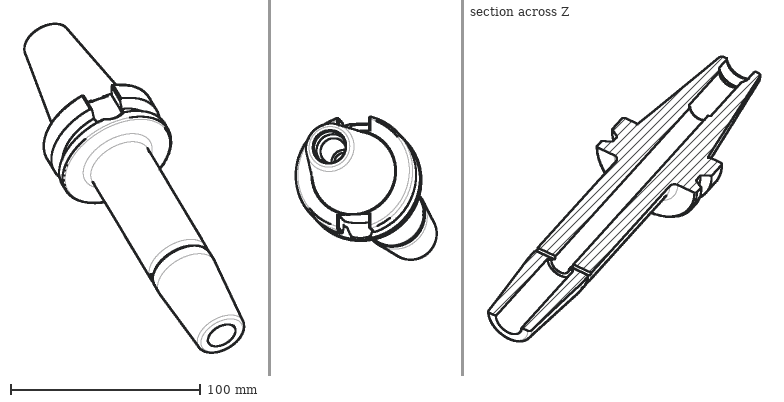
import math

import cadquery as cq


TAPER_LENGTH = 65.4
TAPER_RATIO = 7 / 24
GAUGE_DIAMETER = 44.45
SHANK_FILLET = 2.0

FLANGE_DIAMETER = 63.0
FLANGE_START = 0.6
FLANGE_END = 27.0
FLANGE_FRONT_FILLET = 1.0
FLANGE_BACK_FILLET = 1.5
FACE_UNDERCUT_WIDTH = 0.45
FACE_UNDERCUT_DEPTH = 0.5
GROOVE_CENTER = 16.6
GROOVE_MOUTH = 10.0
GROOVE_FLOOR_DIAMETER = 52.8
GROOVE_HALF_ANGLE = math.radians(30)

SLOT_WIDTH = 16.1
SLOT_FLOOR_HEIGHT = 22.5
SLOT_END = 22.8
SLOT_CHAMFER = 1.0

NOSE_END = 160.0
BODY_DIAMETER = 34.0
BODY_FILLET = 3.0
RELIEF_START = 104.5
RELIEF_END = 108.5
RELIEF_DIAMETER = 33.0
RELIEF_RISE_LENGTH = 0.8
NOSE_TAPER_LENGTH = 44.6
NOSE_TAPER_ANGLE = math.radians(4.5)
NOSE_FILLET = 1.5

CROSS_HOLE_DIAMETER = 2.0
CROSS_HOLE_POSITION = 107.0

PILOT_DIAMETER = 17.0
PILOT_DEPTH = 8.0
PILOT_CHAMFER_HEIGHT = 0.5
PILOT_CHAMFER_LENGTH = 1.0
THREAD_BORE_DIAMETER = 13.8
THREAD_BORE_DEPTH = 40.0
THROUGH_DIAMETER = 11.0
TOOL_BORE_DIAMETER = 16.0
TOOL_BORE_DEPTH = 50.0
LEAD_IN_ANGLE = math.radians(30)
DRILL_TIP_ANGLE = math.radians(59)

SHANK_END = -TAPER_LENGTH
TAPER_END_DIAMETER = GAUGE_DIAMETER + FLANGE_START * TAPER_RATIO
FLANGE_RADIUS = FLANGE_DIAMETER / 2
BODY_RADIUS = BODY_DIAMETER / 2
MATCH_TOLERANCE = 0.01


def revolve_profile(points):
    """Turn a closed (axial position, radius) outline about the X axis."""
    return cq.Workplane("XZ").polyline(points).close().revolve(360, (0, 0, 0), (1, 0, 0))


def is_body_root(edge):
    """True for the circle where the body leaves the flange."""
    if edge.geomType() != "CIRCLE":
        return False
    at_flange = math.isclose(edge.Center().x, FLANGE_END, abs_tol=MATCH_TOLERANCE)
    return at_flange and math.isclose(edge.radius(), BODY_RADIUS, abs_tol=MATCH_TOLERANCE)


def make_shank():
    small_diameter = GAUGE_DIAMETER - TAPER_LENGTH * TAPER_RATIO
    shank = revolve_profile([
        (SHANK_END, 0),
        (SHANK_END, small_diameter / 2),
        (FLANGE_START, TAPER_END_DIAMETER / 2),
        (FLANGE_START, 0),
    ])
    return shank.faces("<X").edges().fillet(SHANK_FILLET)


def make_slotted_disc():
    """Plain flange disc with both drive slots, their edges chamfered."""
    disc = (
        cq.Workplane("YZ", origin=(FLANGE_START, 0, 0))
        .circle(FLANGE_RADIUS)
        .extrude(FLANGE_END - FLANGE_START)
    )
    half_width = SLOT_WIDTH / 2
    slot = (
        cq.Workplane("XY", origin=(0, 0, SLOT_FLOOR_HEIGHT))
        .moveTo(0, -half_width)
        .lineTo(SLOT_END - half_width, -half_width)
        .threePointArc((SLOT_END, 0), (SLOT_END - half_width, half_width))
        .lineTo(0, half_width)
        .close()
        .extrude(FLANGE_RADIUS)
    )
    disc = disc.cut(slot).cut(slot.mirror("XY"))

    def is_slot_rim(edge):
        """True for the slot edges on the rim and on the shank-side face, not on the floor."""
        bounds = edge.BoundingBox()
        reaches_rim = max(abs(bounds.zmin), abs(bounds.zmax)) > SLOT_FLOOR_HEIGHT + MATCH_TOLERANCE
        in_slot = max(abs(bounds.ymin), abs(bounds.ymax)) < half_width + MATCH_TOLERANCE
        beyond_face = bounds.xmax > FLANGE_START + MATCH_TOLERANCE
        upright = bounds.zlen > SLOT_CHAMFER
        return reaches_rim and in_slot and beyond_face != upright

    return disc.edges().filter(is_slot_rim).chamfer(SLOT_CHAMFER)


def make_flange():
    """Slotted disc trimmed to the turned flange outline."""
    wall_run = (FLANGE_DIAMETER - GROOVE_FLOOR_DIAMETER) / 2 * math.tan(GROOVE_HALF_ANGLE)
    mouth_half = GROOVE_MOUTH / 2
    floor_half = mouth_half - wall_run
    floor_radius = GROOVE_FLOOR_DIAMETER / 2
    outline = revolve_profile([
        (FLANGE_START, 0),
        (FLANGE_START, FLANGE_RADIUS),
        (GROOVE_CENTER - mouth_half, FLANGE_RADIUS),
        (GROOVE_CENTER - floor_half, floor_radius),
        (GROOVE_CENTER + floor_half, floor_radius),
        (GROOVE_CENTER + mouth_half, FLANGE_RADIUS),
        (FLANGE_END, FLANGE_RADIUS),
        (FLANGE_END, 0),
    ])
    outline = outline.faces("<X").edges().fillet(FLANGE_BACK_FILLET)
    outline = outline.faces(">X").edges().fillet(FLANGE_FRONT_FILLET)
    return make_slotted_disc().intersect(outline)


def make_face_undercut():
    """Narrow ring groove in the flange face where it meets the taper."""
    inner_radius = TAPER_END_DIAMETER / 2
    outer_radius = inner_radius + FACE_UNDERCUT_WIDTH
    return (
        cq.Workplane("YZ", origin=(FLANGE_START, 0, 0))
        .circle(outer_radius)
        .circle(inner_radius)
        .extrude(FACE_UNDERCUT_DEPTH)
    )


def make_body():
    relief_radius = RELIEF_DIAMETER / 2
    nose_start = NOSE_END - NOSE_TAPER_LENGTH
    nose_radius = BODY_RADIUS - NOSE_TAPER_LENGTH * math.tan(NOSE_TAPER_ANGLE)
    body = revolve_profile([
        (FLANGE_START, 0),
        (FLANGE_START, BODY_RADIUS),
        (RELIEF_START, BODY_RADIUS),
        (RELIEF_END, relief_radius),
        (RELIEF_END + RELIEF_RISE_LENGTH, BODY_RADIUS),
        (nose_start, BODY_RADIUS),
        (NOSE_END, nose_radius),
        (NOSE_END, 0),
    ])
    return body.faces(">X").edges().fillet(NOSE_FILLET)


def make_bores():
    """Stepped bore from the shank end to the tool end."""
    pilot_radius = PILOT_DIAMETER / 2
    thread_radius = THREAD_BORE_DIAMETER / 2
    through_radius = THROUGH_DIAMETER / 2
    tool_radius = TOOL_BORE_DIAMETER / 2
    pilot_end = SHANK_END + PILOT_DEPTH
    thread_end = SHANK_END + THREAD_BORE_DEPTH
    lead_in = (pilot_radius - thread_radius) / math.tan(LEAD_IN_ANGLE)
    drill_tip = (thread_radius - through_radius) / math.tan(DRILL_TIP_ANGLE)
    return revolve_profile([
        (SHANK_END, 0),
        (SHANK_END, pilot_radius + PILOT_CHAMFER_HEIGHT),
        (SHANK_END + PILOT_CHAMFER_LENGTH, pilot_radius),
        (pilot_end, pilot_radius),
        (pilot_end + lead_in, thread_radius),
        (thread_end, thread_radius),
        (thread_end + drill_tip, through_radius),
        (NOSE_END - TOOL_BORE_DEPTH, through_radius),
        (NOSE_END - TOOL_BORE_DEPTH, tool_radius),
        (NOSE_END, tool_radius),
        (NOSE_END, 0),
    ])


def make_cross_hole():
    return (
        cq.Workplane("XZ", origin=(CROSS_HOLE_POSITION, 0, 0))
        .circle(CROSS_HOLE_DIAMETER / 2)
        .extrude(BODY_DIAMETER, both=True)
    )


holder = make_shank().union(make_flange()).union(make_body())
holder = holder.edges().filter(is_body_root).fillet(BODY_FILLET)
result = holder.cut(make_face_undercut()).cut(make_bores()).cut(make_cross_hole())